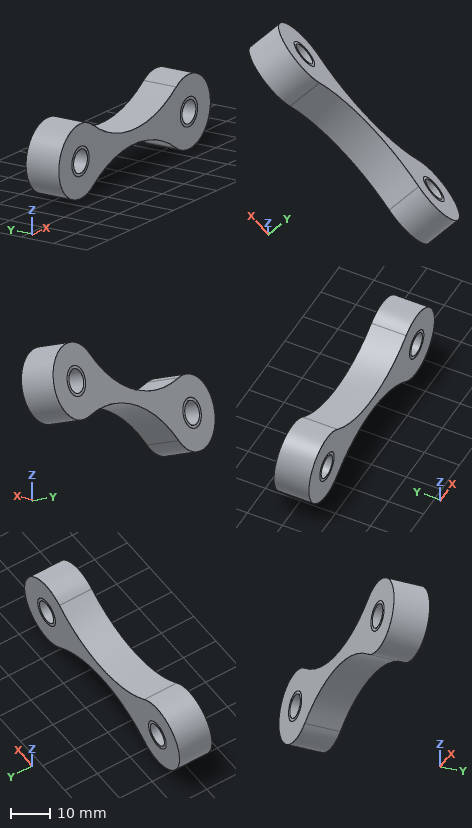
import cadquery as cq
import math

overall_length = 70.0
eye_diameter = 20.0
thickness = 10.0
waist_height = 4.0
bushing_outer_diameter = 8.0
bushing_bore = 6.4

eye_radius = eye_diameter / 2
eye_offset = overall_length / 2 - eye_radius
eye_centers = [(-eye_offset, 0), (eye_offset, 0)]

half_waist = waist_height / 2
radius_difference = eye_radius - half_waist
waist_center_z = (eye_offset**2 - radius_difference**2) / (2 * radius_difference)
waist_radius = waist_center_z - half_waist

center_distance = math.hypot(eye_offset, waist_center_z)
tangent_x = eye_offset * waist_radius / center_distance
tangent_z = waist_center_z * eye_radius / center_distance


def front_plane():
    """XZ plane on the front face; negative extrusion runs toward +Y."""
    return cq.Workplane("XZ", origin=(0, -thickness / 2, 0))


def make_link():
    """Two round eyes joined by a concave waist, bored for the bushings."""
    body = (
        front_plane()
        .moveTo(-tangent_x, tangent_z)
        .threePointArc((0, half_waist), (tangent_x, tangent_z))
        .threePointArc((overall_length / 2, 0), (tangent_x, -tangent_z))
        .threePointArc((0, -half_waist), (-tangent_x, -tangent_z))
        .threePointArc((-overall_length / 2, 0), (-tangent_x, tangent_z))
        .close()
        .extrude(-thickness)
    )
    bushing_seats = (
        front_plane()
        .pushPoints(eye_centers)
        .circle(bushing_outer_diameter / 2)
        .extrude(-thickness)
    )
    return body.cut(bushing_seats)


def make_bushing(center):
    """Plain sleeve, flush with both faces of the link."""
    return (
        front_plane()
        .center(*center)
        .circle(bushing_outer_diameter / 2)
        .circle(bushing_bore / 2)
        .extrude(-thickness)
    )


link = make_link()
bushings = [make_bushing(center) for center in eye_centers]

result = cq.Compound.makeCompound([link.val(), *[bushing.val() for bushing in bushings]])